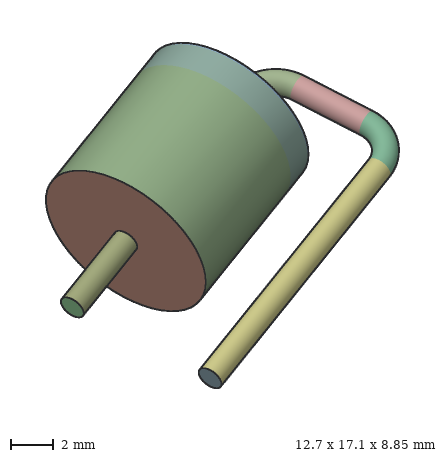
import cadquery as cq


body_diameter = 8.85
body_length = 8.85
body_radius = body_diameter / 2

band_width = 1.45
rim_width = 0.1

lead_diameter = 1.27
lead_radius = lead_diameter / 2
lead_pitch = 7.62
bend_radius = 1.905
lead_front_length = 4.6
lead_overall_length = 17.07

band_end_y = body_length - rim_width
band_start_y = band_end_y - band_width
lead_tip_y = -lead_front_length
lead_back_y = lead_tip_y + lead_overall_length
bridge_y = lead_back_y - lead_radius
bend_start_y = bridge_y - bend_radius


def cylinder_along_y(radius, start_y, length):
    return cq.Workplane("XZ", origin=(0, start_y, 0)).circle(radius).extrude(-length)


def make_lead():
    """One round wire: through the body, over the bridge and back beside it."""
    path = (
        cq.Workplane("XY")
        .moveTo(0, lead_tip_y)
        .lineTo(0, bend_start_y)
        .tangentArcPoint((bend_radius, bridge_y), relative=False)
        .lineTo(lead_pitch - bend_radius, bridge_y)
        .tangentArcPoint((lead_pitch, bend_start_y), relative=False)
        .lineTo(lead_pitch, lead_tip_y)
    )
    return cq.Workplane("XZ", origin=(0, lead_tip_y, 0)).circle(lead_radius).sweep(path)


def make_body():
    """Plain cylinder whose side is divided into main part, cathode band and end rim."""
    main = cylinder_along_y(body_radius, 0, band_start_y)
    band = cylinder_along_y(body_radius, band_start_y, band_width)
    rim = cylinder_along_y(body_radius, band_end_y, rim_width)
    return main.union(band, clean=False).union(rim, clean=False)


result = make_body().union(make_lead(), clean=False)